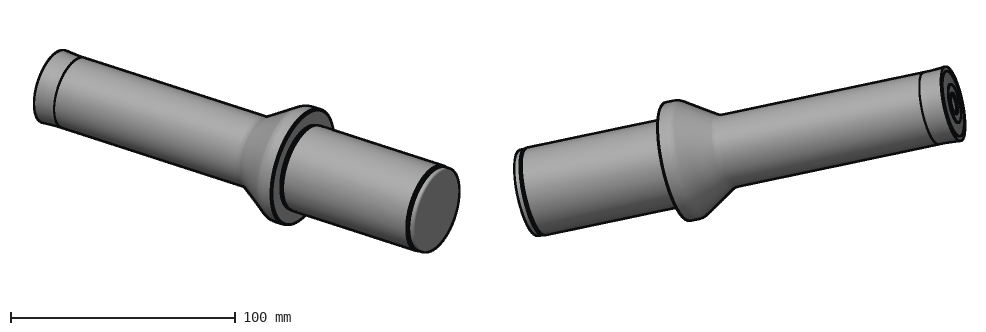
import cadquery as cq

overall_length = 201.0

head_length = 11.0
head_rim_diameter = 34.0
head_waist_diameter = 33.0
head_rim_start = 0.8
head_taper_end = 8.0
raised_face_diameter = 29.8
raised_face_start = 0.6
boss_base_diameter = 17.9
boss_top_diameter = 17.0
boss_height = 0.2
socket_mouth_diameter = 11.5
socket_throat_diameter = 9.8
socket_floor_diameter = 8.5
socket_bevel_depth = 0.2
socket_depth = 0.8
socket_cone_depth = 0.8
socket_tip_diameter = 1.2

bar_diameter = 33.0
flare_start = 107.3
flare_end = 124.6
flare_root_radius = 4.6
flare_crest_radius = 5.6
flange_diameter = 54.0
flange_back = 131.0
flange_chamfer = 0.6
shank_diameter = 40.0
relief_diameter = 39.5
shank_start = 132.7
shank_end = 197.0
shank_front_chamfer_length = 0.6
shank_rear_chamfer_length = 0.6
rear_groove_diameter = 39.0
rear_groove_width = 0.6
end_radius = 1.0


def revolve_profile(points):
    """Revolve (x, diameter) points, closed along the axis, about X."""
    start, end = points[0][0], points[-1][0]
    outline = [(start, 0)] + [(x, diameter / 2) for x, diameter in points] + [(end, 0)]
    return cq.Workplane("XY").polyline(outline).close().revolve(360, (0, 0), (1, 0))


def round_circle_at(body, x, diameter, radius):
    """Fillet the circular edge that lies at x and has the given diameter."""
    half = diameter / 2
    tolerance = 0.02
    edge = body.edges(
        cq.selectors.BoxSelector(
            (x - tolerance, -half - tolerance, -half - tolerance),
            (x + tolerance, half + tolerance, half + tolerance),
            boundingbox=True,
        )
    )
    return edge.fillet(radius)


def make_head():
    """Slightly tapered head with a raised conical face, a center boss and a conical socket."""
    head = revolve_profile([
        (0, boss_top_diameter),
        (boss_height, boss_base_diameter),
        (raised_face_start, raised_face_diameter),
        (head_rim_start, raised_face_diameter),
        (head_rim_start, head_rim_diameter),
        (head_taper_end, head_waist_diameter),
        (head_length, head_waist_diameter),
    ])
    socket = revolve_profile([
        (0, socket_mouth_diameter),
        (socket_bevel_depth, socket_throat_diameter),
        (socket_depth, socket_floor_diameter),
        (socket_depth + socket_cone_depth, socket_tip_diameter),
    ])
    return head.cut(socket)


def make_holder():
    """Turned bar that flares into a flange and continues as a relieved shank."""
    groove_start = shank_end + shank_rear_chamfer_length
    holder = revolve_profile([
        (head_length, bar_diameter),
        (flare_start, bar_diameter),
        (flare_end, flange_diameter),
        (flange_back - flange_chamfer, flange_diameter),
        (flange_back, flange_diameter - 2 * flange_chamfer),
        (flange_back, relief_diameter),
        (shank_start - shank_front_chamfer_length, relief_diameter),
        (shank_start, shank_diameter),
        (shank_end, shank_diameter),
        (groove_start, rear_groove_diameter),
        (groove_start + rear_groove_width, rear_groove_diameter),
        (groove_start + rear_groove_width, relief_diameter),
        (overall_length, relief_diameter),
    ])
    holder = round_circle_at(holder, flare_start, bar_diameter, flare_root_radius)
    holder = round_circle_at(holder, flare_end, flange_diameter, flare_crest_radius)
    return round_circle_at(holder, overall_length, relief_diameter, end_radius)


head = make_head()
holder = make_holder()

result = cq.Compound.makeCompound([head.val(), holder.val()])